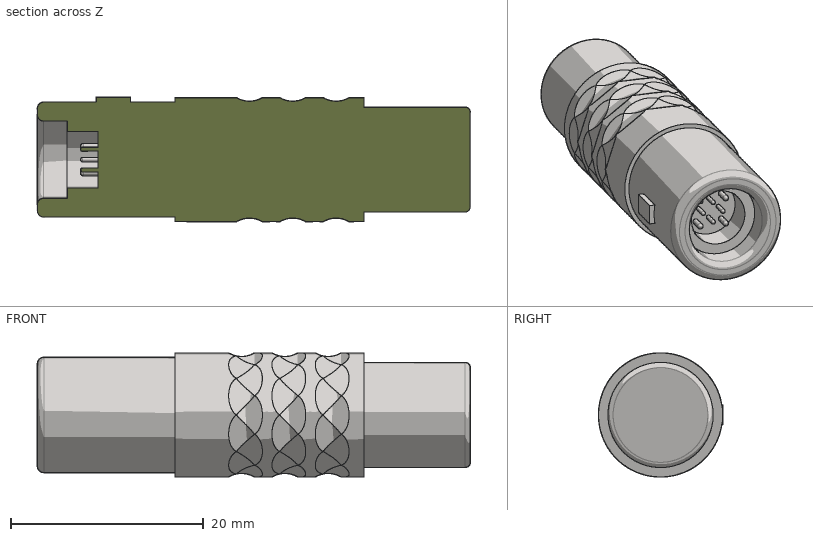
import cadquery as cq

total_length = 45.0
nose_diameter = 12.0
nose_radius = nose_diameter / 2
nose_length = 14.3
nose_outer_fillet = 0.7
sleeve_diameter = 12.9
sleeve_radius = sleeve_diameter / 2
sleeve_end = 33.98
tail_diameter = 10.95
tail_radius = tail_diameter / 2
tail_fillet = 0.55

socket_radius = 4.0
socket_depth = 3.1
socket_mouth_fillet = 0.68
inner_bore_radius = 2.92
inner_bore_depth = 6.3

outer_contact_offset = 1.4
outer_contact_radius = 0.292
inner_contact_offset = 1.1
inner_contact_radius = 0.22
contact_length = 1.8
contact_embed = 0.45

width_over_key = 12.95
key_top = width_over_key - sleeve_radius
key_start = 6.1
key_length = 3.6
key_width = 2.02
key_embed = 0.9
key_root = nose_radius - key_embed

scallops_per_row = 10
scallop_pitch = 360.0 / scallops_per_row
scallop_depth = 0.375
scallop_half_width = 1.35
scallop_radius = (scallop_half_width**2 + scallop_depth**2) / (2 * scallop_depth)
scallop_length = 5.4
band_count = 3
band_spacing = 4.5
first_row_x = 21.25
row_spacing = 0.8


def x_cylinder(start, end, radius, y=0.0, z=0.0):
    """Cylinder along +X between two stations."""
    return cq.Workplane("YZ", origin=(start, y, z)).circle(radius).extrude(end - start)


def scallop(x, angle):
    """Tangential cylinder that dips into the sleeve, turned about X from the -Y side."""
    axis_radius = sleeve_radius - scallop_depth + scallop_radius
    cutter = cq.Solid.makeCylinder(
        scallop_radius,
        scallop_length,
        cq.Vector(x, -axis_radius, -scallop_length / 2),
        cq.Vector(0, 0, 1),
    )
    return cutter.rotate(cq.Vector(0, 0, 0), cq.Vector(1, 0, 0), angle)


def make_sleeve():
    """Middle sleeve with its scalloped grip."""
    sleeve = x_cylinder(nose_length, sleeve_end, sleeve_radius).val()
    cutters = []
    for band in range(band_count):
        left_x = first_row_x + band * band_spacing
        for i in range(scallops_per_row):
            cutters.append(scallop(left_x, (i + 0.5) * scallop_pitch))
            cutters.append(scallop(left_x + row_spacing, i * scallop_pitch))
    return cq.Workplane(sleeve.cut(*cutters))


def make_nose():
    """Nose barrel with the stepped socket and rounded rims."""
    nose = x_cylinder(0, nose_length, nose_radius).faces("<X").edges().fillet(nose_outer_fillet)
    nose = nose.cut(x_cylinder(0, socket_depth, socket_radius))
    mouth_edge = cq.selectors.RadiusNthSelector(0)
    nose = nose.faces("<X").edges(mouth_edge).fillet(socket_mouth_fillet)
    return nose.cut(x_cylinder(socket_depth, inner_bore_depth, inner_bore_radius))


def make_key():
    """Flat-topped rib on the +Y side."""
    return cq.Workplane("XY").box(
        key_length, key_top - key_root, key_width, centered=(False, False, True)
    ).translate((key_start, key_root, 0))


def make_tail():
    """Plain rear barrel with a rounded end."""
    tail = x_cylinder(sleeve_end, total_length, tail_radius)
    return tail.faces(">X").edges().fillet(tail_fillet)


def contact(y, z, radius):
    """Round-tipped pin standing on the floor of the inner bore."""
    dome_x = inner_bore_depth - contact_length + radius
    dome = cq.Workplane("XY").sphere(radius).translate((dome_x, y, z))
    return x_cylinder(dome_x, inner_bore_depth + contact_embed, radius, y, z).union(dome)


def make_contacts():
    """Eight pins: four on the axes and four on the corners of a square."""
    offset = inner_contact_offset
    inner_places = [(offset, 0), (0, offset), (-offset, 0), (0, -offset)]
    pins = [contact(y, z, inner_contact_radius) for y, z in inner_places]
    for y in (-outer_contact_offset, outer_contact_offset):
        for z in (-outer_contact_offset, outer_contact_offset):
            pins.append(contact(y, z, outer_contact_radius))
    return pins


result = make_sleeve().union(make_nose()).union(make_key()).union(make_tail())
for pin in make_contacts():
    result = result.union(pin)